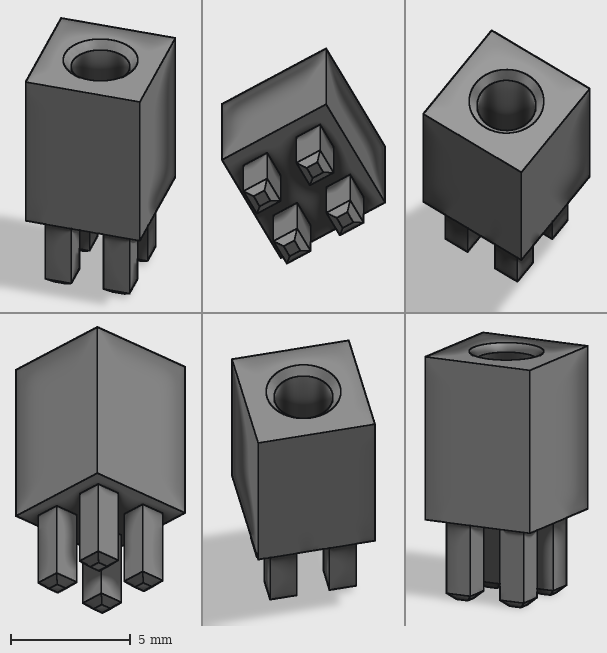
import cadquery as cq
import math

body_side = 5.0
total_height = 10.5
pin_length = 3.51
body_height = total_height - pin_length

pin_side = 1.14
pin_pitch = 2.54
tip_side = 0.51
tip_height = 0.29

hole_diameter = 2.46
countersink_diameter = 3.12
hole_depth = 5.25
drill_point_angle = 116.0


def make_body():
    return cq.Workplane("XY").box(body_side, body_side, body_height, centered=(True, True, False))


def make_pin(x, y):
    shank_length = pin_length - tip_height
    shank = cq.Workplane("XY").center(x, y).rect(pin_side, pin_side).extrude(-shank_length)
    tip = (
        cq.Workplane("XY", origin=(x, y, -pin_length))
        .rect(tip_side, tip_side)
        .workplane(offset=tip_height)
        .rect(pin_side, pin_side)
        .loft(ruled=True)
    )
    return shank.union(tip)


def make_socket():
    """Half profile of the socket (radius, height), revolved about the body axis."""
    hole_radius = hole_diameter / 2
    countersink_radius = countersink_diameter / 2
    countersink_depth = countersink_radius - hole_radius
    floor_height = body_height - hole_depth
    point_depth = hole_radius / math.tan(math.radians(drill_point_angle / 2))
    return (
        cq.Workplane("XZ")
        .moveTo(0, body_height)
        .lineTo(countersink_radius, body_height)
        .lineTo(hole_radius, body_height - countersink_depth)
        .lineTo(hole_radius, floor_height)
        .lineTo(0, floor_height - point_depth)
        .close()
        .revolve(360, (0, 0, 0), (0, 1, 0))
    )


result = make_body().cut(make_socket())
for side_x in (-1, 1):
    for side_y in (-1, 1):
        result = result.union(make_pin(side_x * pin_pitch / 2, side_y * pin_pitch / 2))